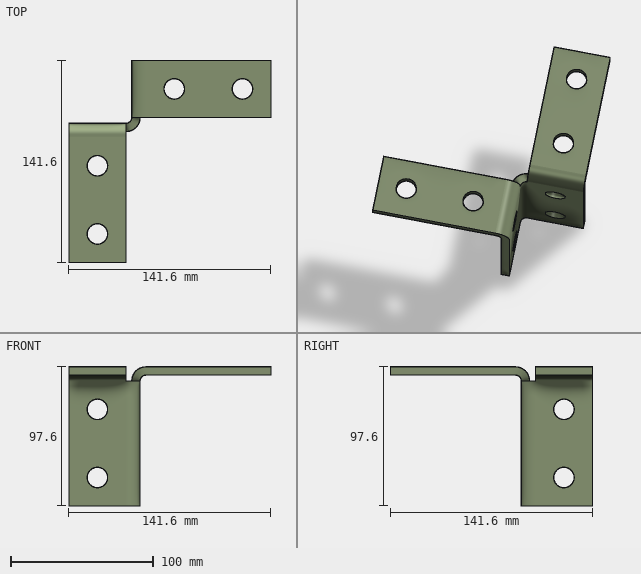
import cadquery as cq

overall = 141.6
leg_length = 97.6
thickness = 6.0
inner_radius = 4.0
hole_diameter = 14.2
hole_spacing = 47.7

outer_radius = inner_radius + thickness
strip_width = overall - leg_length - inner_radius
hole_end_distance = strip_width / 2
bend_start_height = leg_length - outer_radius
upright_face = overall - leg_length
arm_center_y = overall - strip_width / 2
hole_offsets = [hole_end_distance, hole_end_distance + hole_spacing]


def bend(plane, height):
    """Quarter ring about the plane origin, in its positive quadrant."""
    ring = cq.Workplane(plane).circle(outer_radius).circle(inner_radius).extrude(height)
    quadrant = cq.Workplane(plane).rect(outer_radius, outer_radius, centered=False).extrude(height)
    return ring.intersect(quadrant)


def make_arm():
    """Upright leg bent over into a horizontal flange pointing to +X."""
    upright = cq.Workplane("XY").box(thickness, strip_width, bend_start_height, centered=False)
    upright = upright.translate((upright_face, overall - strip_width, 0))

    flange_length = leg_length - outer_radius
    flange = cq.Workplane("XY").box(flange_length, strip_width, thickness, centered=False)
    flange = flange.translate((overall - flange_length, overall - strip_width, leg_length - thickness))

    top_bend_plane = cq.Plane(
        origin=(upright_face + outer_radius, overall - strip_width, bend_start_height),
        xDir=(-1, 0, 0),
        normal=(0, 1, 0),
    )
    arm = upright.union(bend(top_bend_plane, strip_width)).union(flange)

    upright_holes = (
        cq.Workplane("YZ", origin=(upright_face, 0, 0))
        .pushPoints([(arm_center_y, offset) for offset in hole_offsets])
        .circle(hole_diameter / 2)
        .extrude(thickness)
    )
    flange_holes = (
        cq.Workplane("XY", origin=(0, 0, leg_length - thickness))
        .pushPoints([(overall - offset, arm_center_y) for offset in hole_offsets])
        .circle(hole_diameter / 2)
        .extrude(thickness)
    )
    return arm.cut(upright_holes).cut(flange_holes)


arm_to_x = make_arm()

arm_to_y = arm_to_x.mirror(cq.Vector(1, 1, 0), (overall, 0, 0))

corner_plane = cq.Plane(
    origin=(strip_width, overall - strip_width, 0),
    xDir=(0, -1, 0),
    normal=(0, 0, 1),
)
corner = bend(corner_plane, bend_start_height)

result = arm_to_x.union(corner).union(arm_to_y)